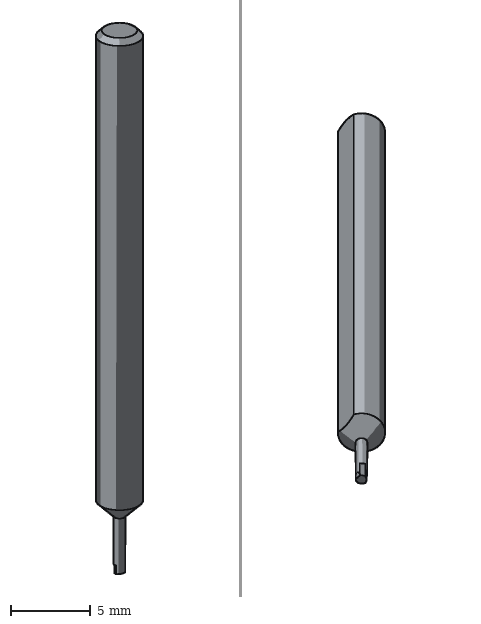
import cadquery as cq

total_length = 38
shank_diameter = 3.0
shank_radius = shank_diameter / 2
shank_depth = 2.75
flat_offset = shank_depth - shank_radius
end_chamfer = 0.38
neck_radius = 0.38
neck_length = 4.0
cone_height = shank_radius - neck_radius

notch_length = 0.65
notch_corner_x = -0.15
notch_corner_y = -0.3
notch_end_x = 0.08
relief_length = 1.3
tip_rise = 0.1
bevel_height = 0.45
bevel_depth = 0.1


def make_body():
    """Neck, cone and chamfered shank turned around the Z axis."""
    profile = (
        cq.Workplane("XZ")
        .moveTo(0, 0)
        .lineTo(neck_radius, 0)
        .lineTo(neck_radius, neck_length)
        .lineTo(shank_radius, neck_length + cone_height)
        .lineTo(shank_radius, total_length - end_chamfer)
        .lineTo(shank_radius - end_chamfer, total_length)
        .lineTo(0, total_length)
        .close()
    )
    return profile.revolve(360, (0, 0, 0), (0, 1, 0))


def make_clamping_flat():
    """Block beyond the flat on the +Y side of the shank."""
    return (
        cq.Workplane("XY")
        .box(shank_diameter, shank_radius, total_length, centered=(True, False, False))
        .translate((0, flat_offset, 0))
    )


def make_chip_notch():
    """Two upright facets ground on the -X, -Y side, open at the tip."""
    return (
        cq.Workplane("XY")
        .moveTo(-neck_radius, 0)
        .lineTo(notch_corner_x, notch_corner_y)
        .lineTo(notch_end_x, -neck_radius)
        .lineTo(-neck_radius, -neck_radius)
        .close()
        .extrude(notch_length)
    )


def make_relief():
    """Wedge that clears the neck behind the cutting edge."""
    return (
        cq.Workplane("XY")
        .moveTo(-neck_radius, 0)
        .lineTo(-neck_radius / 2, neck_radius)
        .lineTo(-neck_radius, neck_radius)
        .close()
        .extrude(relief_length)
    )


def make_end_clearance():
    """Wedge below the end face, which rises from the tip toward +X."""
    return (
        cq.Workplane("XZ")
        .moveTo(-neck_radius, 0)
        .lineTo(neck_radius, tip_rise)
        .lineTo(neck_radius, 0)
        .close()
        .extrude(neck_radius, both=True)
    )


def make_back_bevel():
    """Wedge under the +Y side of the end face."""
    return (
        cq.Workplane("YZ")
        .moveTo(neck_radius - bevel_depth, 0)
        .lineTo(neck_radius, bevel_height)
        .lineTo(neck_radius, 0)
        .close()
        .extrude(neck_radius, both=True)
    )


result = (
    make_body()
    .cut(make_clamping_flat())
    .cut(make_chip_notch())
    .cut(make_relief())
    .cut(make_end_clearance())
    .cut(make_back_bevel())
)